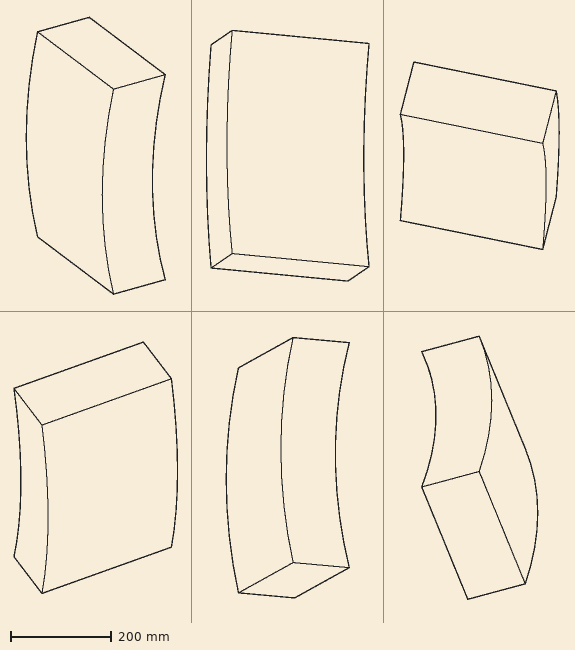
import cadquery as cq
import math

width = 291.0
height = 460.0
outer_radius = 1016.5
wall_thickness = 117.5

inner_radius = outer_radius - wall_thickness
half_height = height / 2


def depth_at_end(radius):
    """Distance from the shell axis to an arc, measured along Y at the top and bottom faces."""
    return math.sqrt(radius**2 - half_height**2)


outer_end_y = -depth_at_end(outer_radius)
inner_end_y = -depth_at_end(inner_radius)

profile = (
    cq.Workplane("YZ")
    .moveTo(outer_end_y, -half_height)
    .threePointArc((-outer_radius, 0), (outer_end_y, half_height))
    .lineTo(inner_end_y, half_height)
    .threePointArc((-inner_radius, 0), (inner_end_y, -half_height))
    .close()
)

result = profile.extrude(width / 2, both=True)